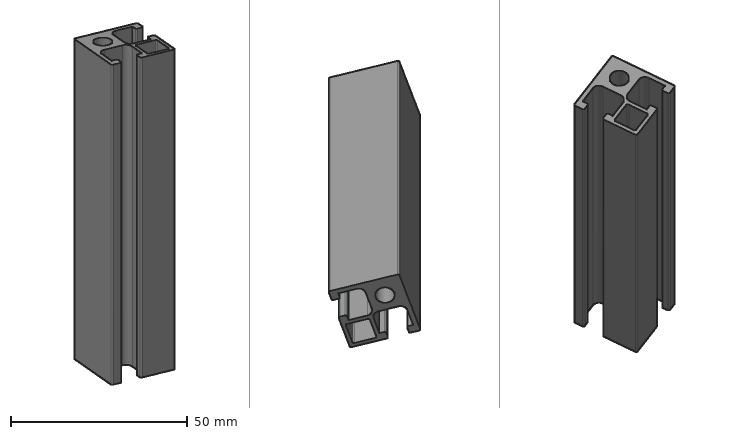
import cadquery as cq

SIDE = 21.0
LENGTH = 100.0

OUTER_WALL = 1.5
CHANNEL_WIDTH = 10.0
CHANNEL_RADIUS = 2.0
SLOT_DEPTH = 10.0
MOUTH_WIDTH = 6.2
LIP_THICKNESS = 2.5

HOLLOW_WALL = 1.2

BORE_DIAMETER = 5.5
BORE_OFFSET = 6.0

EDGE_RADIUS = 0.5

SELECTION_MARGIN = 0.1

HALF = SIDE / 2
CHANNEL_CENTRE = -HALF + OUTER_WALL + CHANNEL_WIDTH / 2
CHANNEL_DEPTH = SLOT_DEPTH - LIP_THICKNESS
CHANNEL_MIDDLE = HALF - LIP_THICKNESS - CHANNEL_DEPTH / 2
MOUTH_MIDDLE = HALF - LIP_THICKNESS / 2
HOLLOW_SIDE = SIDE - OUTER_WALL - CHANNEL_WIDTH - 2 * HOLLOW_WALL
HOLLOW_CENTRE = HALF - HOLLOW_WALL - HOLLOW_SIDE / 2
BORE_CENTRE = -HALF + BORE_OFFSET


def bar(width, depth, x, y):
    """Full-length rectangular bar centred at (x, y)."""
    return cq.Workplane("XY").center(x, y).rect(width, depth).extrude(LENGTH)


def top_slot():
    """Cutter for the slot towards +Y: a channel with a rounded floor and a narrower mouth."""
    channel = bar(CHANNEL_WIDTH, CHANNEL_DEPTH, CHANNEL_CENTRE, CHANNEL_MIDDLE)
    channel = channel.faces("<Y").edges("|Z").fillet(CHANNEL_RADIUS)
    return channel.union(bar(MOUTH_WIDTH, LIP_THICKNESS, CHANNEL_CENTRE, MOUTH_MIDDLE))


def across_diagonal(solid):
    """Mirror image about the plane X = Y."""
    return solid.mirror("YZ").rotate((0, 0, 0), (0, 0, 1), -90)


def mouth_edges(x, y, width, depth):
    """Selector for the lengthwise lip edges around a slot mouth centred at (x, y)."""
    reach_x = width / 2 + SELECTION_MARGIN
    reach_y = depth / 2 + SELECTION_MARGIN
    return cq.selectors.BoxSelector((x - reach_x, y - reach_y, 0), (x + reach_x, y + reach_y, LENGTH))


def round_lips(body):
    """Round the inner and outer edges of the lips of both slots."""
    top_lips = mouth_edges(CHANNEL_CENTRE, MOUTH_MIDDLE, MOUTH_WIDTH, LIP_THICKNESS)
    side_lips = mouth_edges(MOUTH_MIDDLE, CHANNEL_CENTRE, LIP_THICKNESS, MOUTH_WIDTH)
    return body.edges("|Z").edges(top_lips + side_lips).fillet(EDGE_RADIUS)


def square_hollow():
    """Cutter for the square hollow with rounded corners."""
    return bar(HOLLOW_SIDE, HOLLOW_SIDE, HOLLOW_CENTRE, HOLLOW_CENTRE).edges("|Z").fillet(EDGE_RADIUS)


def bore():
    """Cutter for the full-length round bore."""
    return cq.Workplane("XY").center(BORE_CENTRE, BORE_CENTRE).circle(BORE_DIAMETER / 2).extrude(LENGTH)


profile = bar(SIDE, SIDE, 0, 0).edges("|Z").fillet(EDGE_RADIUS)
slot = top_slot()
profile = profile.cut(slot).cut(across_diagonal(slot))
profile = round_lips(profile)
result = profile.cut(square_hollow()).cut(bore())